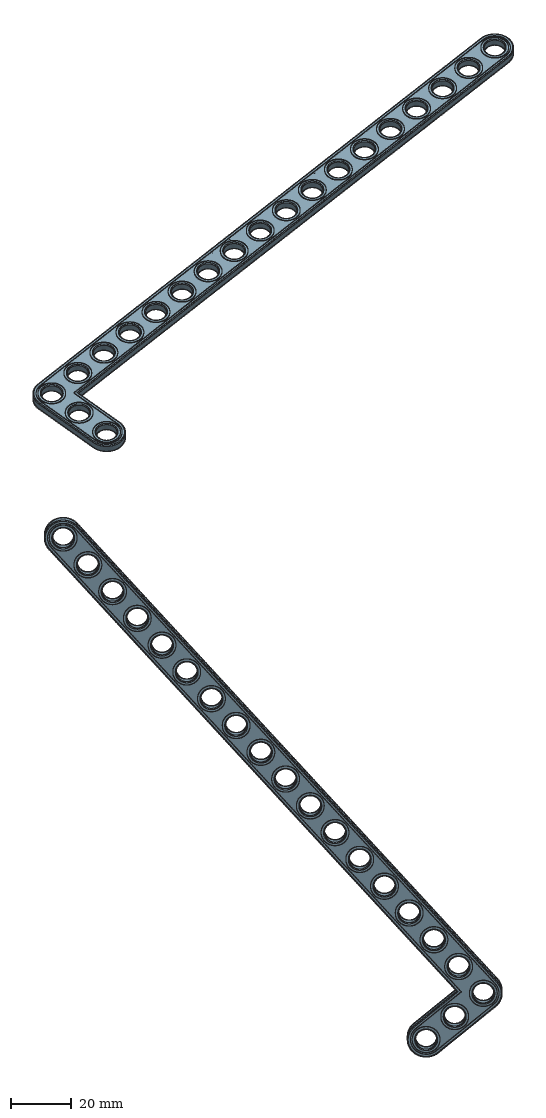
import cadquery as cq

length = 225.0
long_hole_count = 18
short_hole_count = 3
thickness = 3.2
hole_diameter = 7.0
ring_diameter = 9.2
rim_width = 1.08
recess_depth = 0.2
edge_chamfer = 0.32

pitch = length / long_hole_count
long_span = (long_hole_count - 1) * pitch
short_span = (short_hole_count - 1) * pitch

hole_places = [(0, row * pitch) for row in range(long_hole_count)]
hole_places += [(column * pitch, 0) for column in range(1, short_hole_count)]


def angled_strip(width, height):
    """L-shaped strip with round ends; the corner hole is at the origin, the bottom face at Z = 0."""
    plane = cq.Workplane("XY")
    long_arm = plane.center(0, long_span / 2).slot2D(long_span + width, width, 90).extrude(height)
    short_arm = plane.center(short_span / 2, 0).slot2D(short_span + width, width).extrude(height)
    return long_arm.union(short_arm).clean()


def cylinders_at_holes(diameter, height):
    """Upright cylinders standing on Z = 0, one at every hole."""
    return cq.Workplane("XY").pushPoints(hole_places).circle(diameter / 2).extrude(height)


recess = angled_strip(pitch - 2 * rim_width, recess_depth)
recess = recess.cut(cylinders_at_holes(ring_diameter, recess_depth))

body = angled_strip(pitch, thickness)
body = body.cut(cylinders_at_holes(hole_diameter, thickness))
body = body.faces("<Z or >Z").edges().chamfer(edge_chamfer)

body = body.cut(recess)
result = body.cut(recess.translate((0, 0, thickness - recess_depth)))